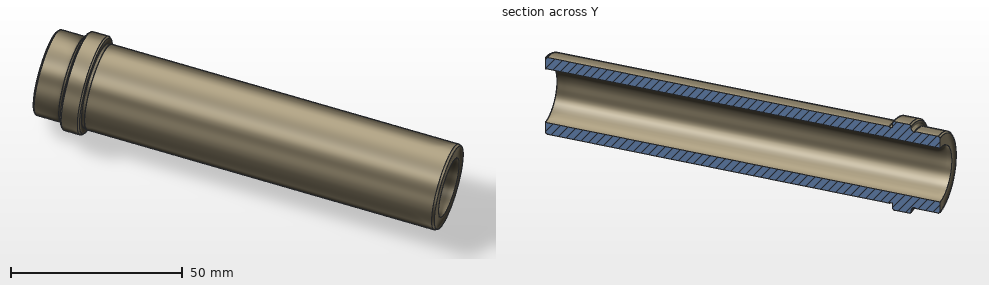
import cadquery as cq

length = 124.0
body_radius = 26.0 / 2
collar_radius = 30.0 / 2
bore_radius = 18.0 / 2

collar_start = 9.0
collar_end = 15.0
collar_chamfer = 0.5

groove_width = 1.0
groove_depth = 0.2
groove_radius = body_radius - groove_depth
front_groove_start = collar_start - groove_width
rear_groove_end = collar_end + groove_width

front_chamfer = 0.5
rear_chamfer_length = 0.7
rear_chamfer_depth = 0.4

half_section = (
    cq.Workplane("XY")
    .moveTo(0, bore_radius)
    .lineTo(0, body_radius - front_chamfer)
    .lineTo(front_chamfer, body_radius)
    .lineTo(front_groove_start, body_radius)
    .lineTo(front_groove_start, groove_radius)
    .radiusArc((collar_start, groove_radius + groove_width), -groove_width)
    .lineTo(collar_start, collar_radius - collar_chamfer)
    .lineTo(collar_start + collar_chamfer, collar_radius)
    .lineTo(collar_end - collar_chamfer, collar_radius)
    .lineTo(collar_end, collar_radius - collar_chamfer)
    .lineTo(collar_end, groove_radius)
    .lineTo(rear_groove_end, groove_radius)
    .lineTo(rear_groove_end, body_radius)
    .lineTo(length - rear_chamfer_length, body_radius)
    .lineTo(length, body_radius - rear_chamfer_depth)
    .lineTo(length, bore_radius)
    .close()
)

result = half_section.revolve(360, (0, 0, 0), (1, 0, 0))